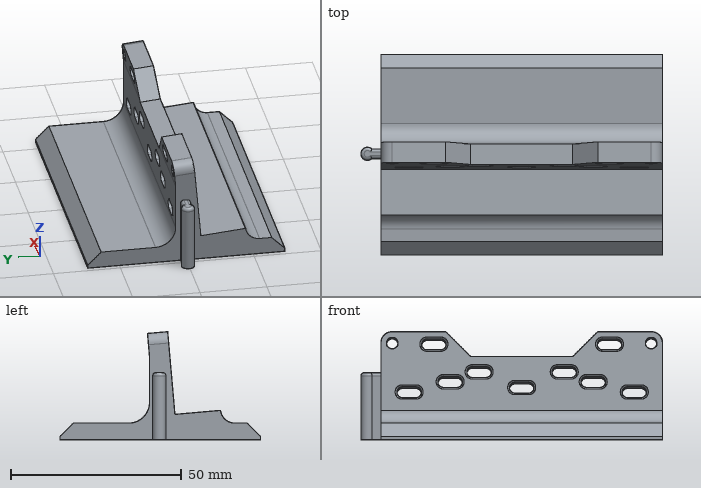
import cadquery as cq
import math

part_length = 88.6
plate_length = 82.8
base_depth = 58.95
base_height = 5.0
edge_bevel = 4.0
edge_lip = base_height - edge_bevel

ledge_back_y = -4.3
ledge_front_y = -17.7
ledge_back_z = 7.5
ledge_cove_radius = 4.2

lean_angle = 5.0
part_height = 31.8
wall_thickness = 6.0
wall_rear_y = 3.2
wall_rear_fillet = 6.0
wall_corner_radius = 3.4

notch_floor_half_width = 15.0
notch_depth = 7.4

pin_hole_diameter = 3.4
slot_length = 7.2
slot_width = 3.2
slot_bevel = 0.5
slot_places = [(0.0, 16.5), (12.5, 11.9), (21.0, 14.8), (25.8, 3.7), (33.1, 17.8)]

post_diameter = 3.9
post_height = 19.8
post_y = 0.3
post_rounding = 1.0
web_thickness = 2.9

lean = math.radians(lean_angle)
half_plate = plate_length / 2
half_depth = base_depth / 2
bevel_y = half_depth - edge_bevel

wall_top_front_y = ledge_back_y + (part_height - ledge_back_z) * math.tan(lean)
wall_top_rear_y = wall_top_front_y + wall_thickness * math.cos(lean)
wall_top_rear_z = part_height - wall_thickness * math.sin(lean)
rear_bend_z = wall_top_rear_z - (wall_top_rear_y - wall_rear_y) / math.tan(lean)


def on_arc(center_y, center_z, radius, angle):
    """Point (y, z) on a circle, with the angle in radians from +Y."""
    return center_y + radius * math.cos(angle), center_z + radius * math.sin(angle)


def plate_and_wall():
    """Constant section of base, ledge and leaning wall."""
    ledge_front_z = ledge_back_z + (ledge_back_y - ledge_front_y) * math.tan(lean)
    cove_z = base_height + ledge_cove_radius
    cove_start = math.asin((ledge_front_z - cove_z) / ledge_cove_radius)
    cove_y = ledge_front_y - ledge_cove_radius * math.cos(cove_start)
    cove_middle = (cove_start - math.pi / 2) / 2
    fillet_y = wall_rear_y + wall_rear_fillet
    fillet_z = base_height + wall_rear_fillet
    return (
        cq.Workplane("YZ", origin=(-half_plate, 0, 0))
        .moveTo(-half_depth, 0)
        .lineTo(half_depth, 0)
        .lineTo(half_depth, edge_lip)
        .lineTo(bevel_y, base_height)
        .lineTo(fillet_y, base_height)
        .threePointArc(
            on_arc(fillet_y, fillet_z, wall_rear_fillet, math.radians(225)),
            (wall_rear_y, fillet_z),
        )
        .lineTo(wall_rear_y, rear_bend_z)
        .lineTo(wall_top_rear_y, wall_top_rear_z)
        .lineTo(wall_top_front_y, part_height)
        .lineTo(ledge_back_y, ledge_back_z)
        .lineTo(ledge_front_y, ledge_front_z)
        .threePointArc(
            on_arc(cove_y, cove_z, ledge_cove_radius, cove_middle),
            (cove_y, base_height),
        )
        .lineTo(-bevel_y, base_height)
        .lineTo(-half_depth, edge_lip)
        .close()
        .extrude(plate_length)
    )


face_plane = cq.Plane(
    origin=(0, wall_top_front_y, part_height),
    xDir=(1, 0, 0),
    normal=(0, -math.cos(lean), math.sin(lean)),
)
cut_depth = 2 * wall_thickness


def on_face():
    """New workplane on the leaning face."""
    return cq.Workplane(face_plane)


def notch():
    """Trapezoid with 45 degree sides, cut through the top of the wall."""
    top_half_width = notch_floor_half_width + notch_depth
    return (
        on_face()
        .moveTo(-top_half_width, 0)
        .lineTo(-notch_floor_half_width, -notch_depth)
        .lineTo(notch_floor_half_width, -notch_depth)
        .lineTo(top_half_width, 0)
        .close()
        .extrude(-cut_depth)
    )


def slot(x, drop):
    """Through slot with a bevelled front rim."""
    through = on_face().center(x, -drop).slot2D(slot_length, slot_width).extrude(-cut_depth)
    rim = (
        on_face()
        .center(x, -drop)
        .slot2D(slot_length + 2 * slot_bevel, slot_width + 2 * slot_bevel)
        .extrude(-slot_bevel, taper=45)
    )
    return through.union(rim)


def corner_trim(side):
    """Material outside the rounded top corner on one end of the wall."""
    center_x = half_plate - wall_corner_radius
    diagonal = wall_corner_radius * math.sqrt(0.5)
    return (
        on_face()
        .moveTo(side * center_x, 0)
        .threePointArc(
            (side * (center_x + diagonal), diagonal - wall_corner_radius),
            (side * half_plate, -wall_corner_radius),
        )
        .lineTo(side * half_plate, 0)
        .close()
        .extrude(-cut_depth)
    )


def pin_hole(side):
    """Through hole concentric with the rounded top corner."""
    return (
        on_face()
        .center(side * (half_plate - wall_corner_radius), -wall_corner_radius)
        .circle(pin_hole_diameter / 2)
        .extrude(-cut_depth)
    )


def post():
    """Round post and web, both rounded on top, joined to the plate end."""
    post_x = half_plate - part_length + post_diameter / 2
    web_length = -half_plate - post_x
    pillar = (
        cq.Workplane("XY", origin=(post_x, post_y, 0))
        .circle(post_diameter / 2)
        .extrude(post_height)
        .faces(">Z")
        .fillet(post_rounding)
    )
    web = (
        cq.Workplane("XY", origin=(post_x + web_length / 2, post_y, 0))
        .box(web_length, web_thickness, post_height, centered=(True, True, False))
        .edges("|X and >Z")
        .fillet(post_rounding)
    )
    return pillar.union(web)


result = plate_and_wall().cut(notch())
for side in (-1, 1):
    result = result.cut(corner_trim(side)).cut(pin_hole(side))
for x, drop in slot_places:
    for slot_x in {-x, x}:
        result = result.cut(slot(slot_x, drop))
result = result.union(post())